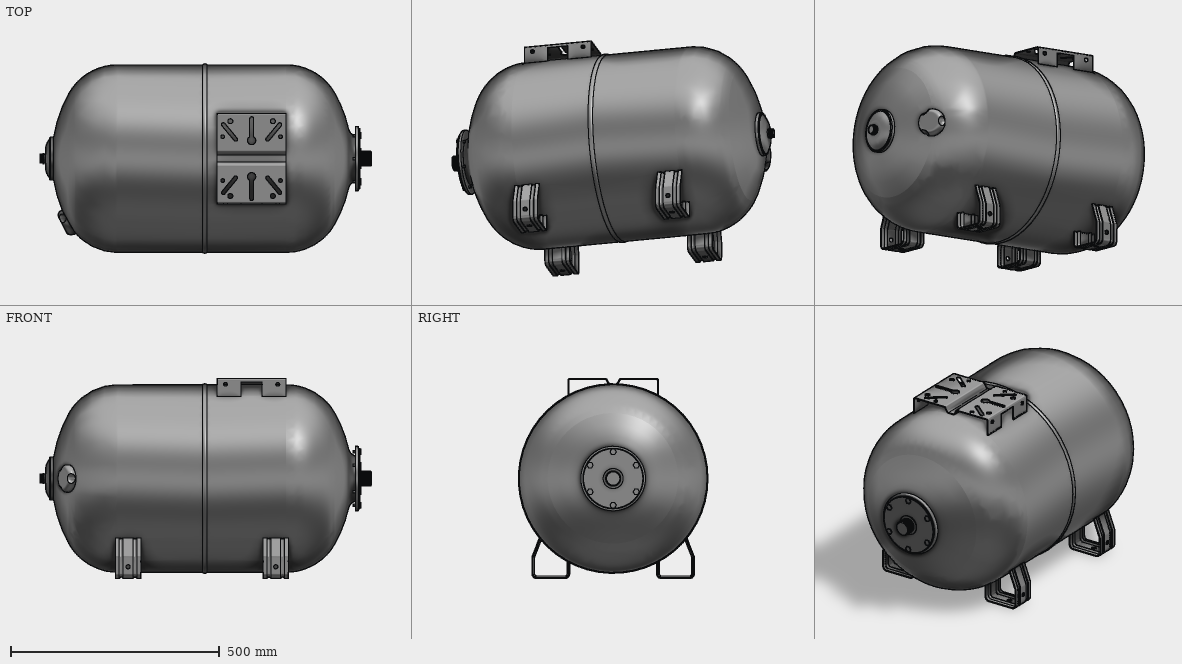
import cadquery as cq
import math


SHELL_RADIUS = 450 / 2
KNUCKLE_RADIUS = 134
CROWN_RADIUS = 320
LEFT_SEAM_X = -209
RIGHT_SEAM_X = 195
BEAD_RADIUS = 454.97 / 2
BEAD_HALF_WIDTH = 5.7

LEFT_END_X = -394.9
CAP_RADIUS = 103.79 / 2
CAP_FACE_X = -382
CAP_FACE_RADIUS = 24
CAP_LIP_X = -372
CAP_LIP_RADIUS = 47
CAP_SHOULDER_BULGE = 1.5
CAP_LIP_CHAMFER = 2
COLLAR_RADIUS = 25.02 / 2
COLLAR_THICKNESS = 2.5
COLLAR_FACE_X = -388
STEM_RADIUS = 10.5
STEM_NECK_RADIUS = 11

RIGHT_END_X = LEFT_END_X + 794.08
NECK_RADIUS = 107.76 / 2
NECK_FILLET = 22
FLANGE_BACK_X = 360.6
FLANGE_FRONT_X = 372.5
FLANGE_RADIUS = 155 / 2
FLANGE_SEAT_X = 368
FLANGE_ROUND = 2
COVER_RADIUS = 145.24 / 2
COVER_CHAMFER = 1.5
HUB_RADIUS = 24
HUB_HEIGHT = 2.4
PIPE_RADIUS = 18
PIPE_CHAMFER = 2

THREAD_PITCH = 2.309
THREAD_DEPTH = 1.2

BOLT_COUNT = 6
BOLT_CIRCLE_RADIUS = 64
BOLT_DIAMETER = 6
BOLT_TAIL = 5
BOLT_HEAD_DIAMETER = 15
BOLT_HEAD_HEIGHT = 2.4

GAUGE_TILT = 27.5
GAUGE_HEIGHT = 14.5
GAUGE_ROOT = 12
GAUGE_RADIUS = 33
GAUGE_ROUND = 12
DISH_COUNT = 3
DISH_RADIUS = 16
DISH_TILT = 27.5
DISH_DISTANCE = 21

TOP_Z = 240
BRACKET_START_X = 29.6
BRACKET_LENGTH = 165
BRACKET_HALF_WIDTH = 108.7
BRACKET_BOTTOM_Z = 197
BRACKET_SHEET = 2.5
BRACKET_BEND = 5
CHANNEL_TOP_HALF_WIDTH = 16
CHANNEL_BOTTOM_HALF_WIDTH = 9
CHANNEL_FLOOR_RISE = 2
CHANNEL_Z = SHELL_RADIUS + CHANNEL_FLOOR_RISE
NOTCH_WIDTH = 50
NOTCH_TOP_Z = 231.8
SIDE_HOLE_DIAMETER = 9
SIDE_HOLE_SPACING = 125.5
SIDE_HOLE_Z = 225.8
LARGE_HOLE_DIAMETER = 12
LARGE_HOLE_X = 51
LARGE_HOLE_Y = 89.6
SMALL_HOLE_DIAMETER = 9
SMALL_HOLE_X = 69.3
SMALL_HOLE_Y = 52.6
SLOT_WIDTH = 9
SLOT_ANGLE = 50.3
SLOT_INNER_RADIUS = 60
SLOT_OUTER_RADIUS = 106
KEYHOLE_HEAD_DIAMETER = 20
KEYHOLE_HEAD_Y = 43.5
KEYHOLE_END_Y = 96

FOOT_CENTRES_X = (-184, 170)
FOOT_WIDTH = 61
FOOT_BOTTOM_Z = -240
FOOT_INNER_Y = 104
FOOT_OUTER_Y = 194.8
FOOT_KNEE_Z = -188
FOOT_TOP_Y = 177
FOOT_TOP_Z = -142
FOOT_INNER_TOP_Z = -190
FOOT_SHEET = 3
FOOT_BEND = 12
GROOVE_OFFSET = 16.5
GROOVE_WIDTH = 9.5
GROOVE_DEPTH = 3.5
FOOT_SIDE_HOLE_DIAMETER = 10
FOOT_FLOOR_HOLE_DIAMETER = 12
FOOT_SIDE_HOLE_Z = -211.5
FOOT_FLOOR_HOLE_INSET = 40


def x_cylinder(start_x, end_x, radius):
    """Cylinder along the tank axis."""
    return cq.Workplane("YZ", origin=(start_x, 0, 0)).circle(radius).extrude(end_x - start_x)


def revolve_about_axis(profile):
    """Turn a closed (x, radius) profile around the tank axis."""
    return profile.close().revolve(360, (0, 0, 0), (1, 0, 0))


def polar(centre, radius, angle):
    """Point at an angle in degrees measured from +X."""
    turn = math.radians(angle)
    return (centre[0] + radius * math.cos(turn), centre[1] + radius * math.sin(turn))


def make_shell():
    knuckle_y = SHELL_RADIUS - KNUCKLE_RADIUS
    crown_offset = math.sqrt((CROWN_RADIUS - KNUCKLE_RADIUS) ** 2 - knuckle_y**2)
    joint_angle = math.degrees(math.atan2(knuckle_y, crown_offset))
    knuckle_middle = (90 + joint_angle) / 2
    left_knuckle = (LEFT_SEAM_X, knuckle_y)
    left_crown = (LEFT_SEAM_X + crown_offset, 0)
    right_knuckle = (RIGHT_SEAM_X, knuckle_y)
    right_crown = (RIGHT_SEAM_X - crown_offset, 0)

    fillet_y = NECK_RADIUS + NECK_FILLET
    neck_angle = math.degrees(math.asin(fillet_y / (CROWN_RADIUS + NECK_FILLET)))
    fillet_centre = polar(right_crown, CROWN_RADIUS + NECK_FILLET, neck_angle)
    neck_arc_middle = (180 + neck_angle + 270) / 2

    profile = (
        cq.Workplane("XY")
        .moveTo(left_crown[0] - CROWN_RADIUS, 0)
        .threePointArc(
            polar(left_crown, CROWN_RADIUS, 180 - joint_angle / 2),
            polar(left_crown, CROWN_RADIUS, 180 - joint_angle),
        )
        .threePointArc(
            polar(left_knuckle, KNUCKLE_RADIUS, 180 - knuckle_middle),
            (LEFT_SEAM_X, SHELL_RADIUS),
        )
        .lineTo(-BEAD_HALF_WIDTH, SHELL_RADIUS)
        .threePointArc((0, BEAD_RADIUS), (BEAD_HALF_WIDTH, SHELL_RADIUS))
        .lineTo(RIGHT_SEAM_X, SHELL_RADIUS)
        .threePointArc(
            polar(right_knuckle, KNUCKLE_RADIUS, knuckle_middle),
            polar(right_knuckle, KNUCKLE_RADIUS, joint_angle),
        )
        .threePointArc(
            polar(right_crown, CROWN_RADIUS, (joint_angle + neck_angle) / 2),
            polar(right_crown, CROWN_RADIUS, neck_angle),
        )
        .threePointArc(
            polar(fillet_centre, NECK_FILLET, neck_arc_middle),
            (fillet_centre[0], NECK_RADIUS),
        )
        .lineTo(FLANGE_FRONT_X, NECK_RADIUS)
        .lineTo(FLANGE_FRONT_X, 0)
    )
    return revolve_about_axis(profile)


def make_thread(start_x, end_x, radius):
    """Threaded rod, shaped as a row of ring-shaped V grooves."""
    profile = cq.Workplane("XY").moveTo(start_x, 0).lineTo(start_x, radius)
    for turn in range(int((end_x - start_x) / THREAD_PITCH)):
        groove_x = start_x + turn * THREAD_PITCH
        profile = profile.lineTo(groove_x + THREAD_PITCH / 2, radius - THREAD_DEPTH)
        profile = profile.lineTo(groove_x + THREAD_PITCH, radius)
    return revolve_about_axis(profile.lineTo(end_x, radius).lineTo(end_x, 0))


def make_cap():
    """Domed cap on the left crown, with its collar and threaded stem."""
    inside_x = LEFT_SEAM_X
    shoulder_middle = (
        (CAP_FACE_X + CAP_LIP_X) / 2 - CAP_SHOULDER_BULGE,
        (CAP_FACE_RADIUS + CAP_LIP_RADIUS) / 2 + CAP_SHOULDER_BULGE,
    )
    profile = (
        cq.Workplane("XY")
        .moveTo(inside_x, 0)
        .lineTo(CAP_FACE_X, 0)
        .lineTo(CAP_FACE_X, CAP_FACE_RADIUS)
        .threePointArc(shoulder_middle, (CAP_LIP_X, CAP_LIP_RADIUS))
        .lineTo(CAP_LIP_X, CAP_RADIUS - CAP_LIP_CHAMFER)
        .lineTo(CAP_LIP_X + CAP_LIP_CHAMFER, CAP_RADIUS)
        .lineTo(inside_x, CAP_RADIUS)
    )
    cap = revolve_about_axis(profile)
    neck = x_cylinder(COLLAR_FACE_X, CAP_FACE_X, STEM_NECK_RADIUS)
    collar = x_cylinder(COLLAR_FACE_X, COLLAR_FACE_X + COLLAR_THICKNESS, COLLAR_RADIUS)
    stem = make_thread(LEFT_END_X, COLLAR_FACE_X, STEM_RADIUS)
    return cap.union(neck).union(collar).union(stem)


def make_flange():
    flange = x_cylinder(FLANGE_BACK_X, FLANGE_SEAT_X, FLANGE_RADIUS)
    flange = flange.faces(">X").edges().fillet(FLANGE_ROUND)
    cover = x_cylinder(FLANGE_SEAT_X, FLANGE_FRONT_X, COVER_RADIUS)
    flange = flange.union(cover.faces(">X").edges().chamfer(COVER_CHAMFER))
    hub_face_x = FLANGE_FRONT_X + HUB_HEIGHT
    flange = flange.union(x_cylinder(FLANGE_FRONT_X, hub_face_x, HUB_RADIUS))
    tip = x_cylinder(RIGHT_END_X - THREAD_PITCH, RIGHT_END_X, PIPE_RADIUS)
    tip = tip.faces(">X").edges().chamfer(PIPE_CHAMFER)
    pipe = make_thread(hub_face_x, RIGHT_END_X - THREAD_PITCH, PIPE_RADIUS)
    return flange.union(pipe).union(tip)


def make_bolts():
    bolts = cq.Workplane("YZ")
    for index in range(BOLT_COUNT):
        angle = 90 + index * 360 / BOLT_COUNT
        y, z = polar((0, 0), BOLT_CIRCLE_RADIUS, angle)
        shank = (
            cq.Workplane("YZ", origin=(FLANGE_BACK_X - BOLT_TAIL, y, z))
            .circle(BOLT_DIAMETER / 2)
            .extrude(FLANGE_FRONT_X - FLANGE_BACK_X + BOLT_TAIL)
        )
        head = (
            cq.Workplane("YZ", origin=(FLANGE_FRONT_X, y, z))
            .polygon(6, BOLT_HEAD_DIAMETER)
            .extrude(BOLT_HEAD_HEIGHT)
        )
        bolts = bolts.add(shank.union(head))
    return bolts.combine()


def make_gauge():
    """Round housing with rounded rim and hollow finger grips around it."""
    tilt = math.radians(GAUGE_TILT)
    reach = KNUCKLE_RADIUS + GAUGE_HEIGHT
    knuckle_y = SHELL_RADIUS - KNUCKLE_RADIUS
    face_centre = (
        LEFT_SEAM_X - reach * math.cos(tilt),
        -knuckle_y - reach * math.sin(tilt),
        0,
    )
    face = cq.Plane(
        origin=face_centre,
        xDir=(math.sin(tilt), -math.cos(tilt), 0),
        normal=(-math.cos(tilt), -math.sin(tilt), 0),
    )
    height = GAUGE_HEIGHT + GAUGE_ROOT
    gauge = cq.Workplane("XY").circle(GAUGE_RADIUS).extrude(-height)
    gauge = gauge.faces(">Z").edges().fillet(GAUGE_ROUND)
    rim_centre = (GAUGE_RADIUS - GAUGE_ROUND, -GAUGE_ROUND)
    ball_radial, ball_height = polar(rim_centre, DISH_DISTANCE, DISH_TILT)
    for index in range(DISH_COUNT):
        ball = (
            cq.Workplane("XY")
            .sphere(DISH_RADIUS)
            .translate((ball_radial, 0, ball_height))
            .rotate((0, 0, 0), (0, 0, 1), index * 360 / DISH_COUNT)
        )
        gauge = gauge.cut(ball)
    return cq.Workplane("XY").add(gauge.val().moved(cq.Location(face)))


def rounded_path(points, radius):
    """Open polyline of 3D points with every inner corner rounded."""
    wire = cq.Wire.makePolygon([cq.Vector(*point) for point in points])
    corners = wire.Vertices()[1:-1]
    return cq.Workplane("XY").add(wire.fillet2D(radius, corners))


def mirrored_corners(values):
    """The four points that mirror one (x, y) point about both middle lines."""
    return [(sx * values[0], sy * values[1]) for sx in (-1, 1) for sy in (-1, 1)]


def make_bracket():
    half_path = [
        (BRACKET_HALF_WIDTH, BRACKET_BOTTOM_Z),
        (BRACKET_HALF_WIDTH, TOP_Z),
        (CHANNEL_TOP_HALF_WIDTH, TOP_Z),
        (CHANNEL_BOTTOM_HALF_WIDTH, CHANNEL_Z),
    ]
    outline = half_path + [(-y, z) for y, z in reversed(half_path)]
    path = rounded_path([(BRACKET_START_X, y, z) for y, z in outline], BRACKET_BEND)
    start = cq.Plane(
        origin=(BRACKET_START_X, BRACKET_HALF_WIDTH, BRACKET_BOTTOM_Z),
        xDir=(1, 0, 0),
        normal=(0, 0, 1),
    )
    bracket = (
        cq.Workplane(start)
        .rect(BRACKET_LENGTH, -BRACKET_SHEET, centered=False)
        .sweep(path, transition="right")
    )

    middle_x = BRACKET_START_X + BRACKET_LENGTH / 2
    notch_height = NOTCH_TOP_Z - BRACKET_BOTTOM_Z
    side_wall = 3 * BRACKET_SHEET
    for side in (-1, 1):
        notch = cq.Workplane("XY").box(NOTCH_WIDTH, side_wall, notch_height).translate(
            (middle_x, side * BRACKET_HALF_WIDTH, (NOTCH_TOP_Z + BRACKET_BOTTOM_Z) / 2)
        )
        bracket = bracket.cut(notch)
    side_holes = (
        cq.Workplane("XZ", origin=(middle_x, BRACKET_HALF_WIDTH, SIDE_HOLE_Z))
        .pushPoints([(-SIDE_HOLE_SPACING / 2, 0), (SIDE_HOLE_SPACING / 2, 0)])
        .circle(SIDE_HOLE_DIAMETER / 2)
        .extrude(side_wall, both=True)
    )
    bracket = bracket.cut(side_holes).cut(side_holes.mirror("XZ"))
    return bracket.cut(make_bracket_openings(middle_x))


def make_bracket_openings(middle_x):
    """Cutters for the round holes, radial slots and keyholes of the top plate."""
    depth = 2 * BRACKET_SHEET
    plate = cq.Workplane("XY", origin=(middle_x, 0, TOP_Z - depth))
    large = plate.pushPoints(mirrored_corners((LARGE_HOLE_X, LARGE_HOLE_Y)))
    small = plate.pushPoints(mirrored_corners((SMALL_HOLE_X, SMALL_HOLE_Y)))
    openings = large.circle(LARGE_HOLE_DIAMETER / 2).extrude(2 * depth)
    openings = openings.union(small.circle(SMALL_HOLE_DIAMETER / 2).extrude(2 * depth))

    slot_length = SLOT_OUTER_RADIUS - SLOT_INNER_RADIUS + SLOT_WIDTH
    slot_middle = (SLOT_OUTER_RADIUS + SLOT_INNER_RADIUS) / 2
    for angle in (SLOT_ANGLE, 180 - SLOT_ANGLE, -SLOT_ANGLE, SLOT_ANGLE - 180):
        slot = plate.center(*polar((0, 0), slot_middle, angle)).slot2D(slot_length, SLOT_WIDTH, angle)
        openings = openings.union(slot.extrude(2 * depth))

    stem_length = KEYHOLE_END_Y - KEYHOLE_HEAD_Y + SLOT_WIDTH
    stem_middle = (KEYHOLE_END_Y + KEYHOLE_HEAD_Y) / 2
    for side in (-1, 1):
        stem = plate.center(0, side * stem_middle).slot2D(stem_length, SLOT_WIDTH, 90)
        openings = openings.union(stem.extrude(2 * depth))
        head = plate.center(0, side * KEYHOLE_HEAD_Y).circle(KEYHOLE_HEAD_DIAMETER / 2)
        openings = openings.union(head.extrude(2 * depth))
    return openings


def ribbed_section(start):
    """Strip cross-section: two round grooves on its outer face stand out as ribs inside."""
    edge = FOOT_WIDTH / 2
    groove_near = GROOVE_OFFSET - GROOVE_WIDTH / 2
    groove_far = GROOVE_OFFSET + GROOVE_WIDTH / 2
    inner_floor = -FOOT_SHEET - GROOVE_DEPTH
    return (
        cq.Workplane(start)
        .moveTo(-edge, 0)
        .lineTo(-groove_far, 0)
        .threePointArc((-GROOVE_OFFSET, -GROOVE_DEPTH), (-groove_near, 0))
        .lineTo(groove_near, 0)
        .threePointArc((GROOVE_OFFSET, -GROOVE_DEPTH), (groove_far, 0))
        .lineTo(edge, 0)
        .lineTo(edge, -FOOT_SHEET)
        .lineTo(groove_far, -FOOT_SHEET)
        .threePointArc((GROOVE_OFFSET, inner_floor), (groove_near, -FOOT_SHEET))
        .lineTo(-groove_near, -FOOT_SHEET)
        .threePointArc((-GROOVE_OFFSET, inner_floor), (-groove_far, -FOOT_SHEET))
        .lineTo(-edge, -FOOT_SHEET)
        .close()
    )


def make_foot(centre_x):
    """Foot on the +Y side; both legs end inside the shell."""
    points = [
        (centre_x, FOOT_INNER_Y, FOOT_INNER_TOP_Z),
        (centre_x, FOOT_INNER_Y, FOOT_BOTTOM_Z),
        (centre_x, FOOT_OUTER_Y, FOOT_BOTTOM_Z),
        (centre_x, FOOT_OUTER_Y, FOOT_KNEE_Z),
        (centre_x, FOOT_TOP_Y, FOOT_TOP_Z),
    ]
    start = cq.Plane(origin=points[0], xDir=(1, 0, 0), normal=(0, 0, -1))
    foot = ribbed_section(start).sweep(rounded_path(points, FOOT_BEND))

    drill_depth = 3 * FOOT_SHEET
    side_hole = (
        cq.Workplane("XZ", origin=(centre_x, FOOT_OUTER_Y, FOOT_SIDE_HOLE_Z))
        .circle(FOOT_SIDE_HOLE_DIAMETER / 2)
        .extrude(drill_depth, both=True)
    )
    floor_hole = (
        cq.Workplane("XY", origin=(centre_x, FOOT_OUTER_Y - FOOT_FLOOR_HOLE_INSET, FOOT_BOTTOM_Z))
        .circle(FOOT_FLOOR_HOLE_DIAMETER / 2)
        .extrude(drill_depth, both=True)
    )
    return foot.cut(side_hole).cut(floor_hole)


tank = make_shell()
for attachment in (make_cap(), make_flange(), make_bolts(), make_gauge(), make_bracket()):
    tank = tank.union(attachment)
for foot_x in FOOT_CENTRES_X:
    foot = make_foot(foot_x)
    tank = tank.union(foot).union(foot.mirror("XZ"))

result = tank